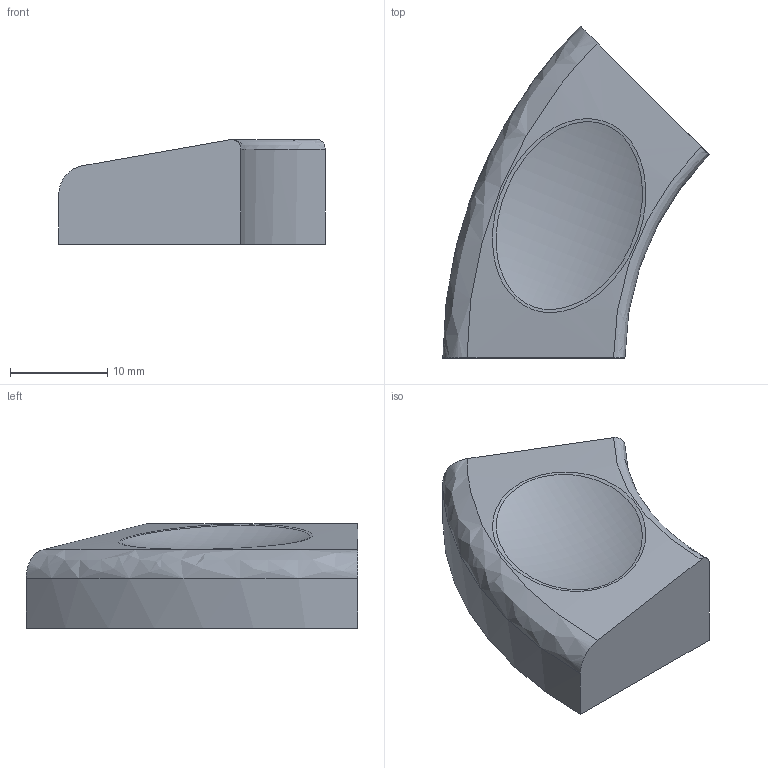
import cadquery as cq
import math

outer_radius = 48.3
inner_radius = 29.56
segment_angle = 45.0

inner_corner_height = 10.962
slope_angle = 10.0
outer_fillet = 3.0
inner_fillet = 1.0

dish_center_radius = 38.2
dish_depth = 1.55
dish_half_length = 10.2
dish_half_width = 7.2
dish_rim_fillet = 1.0
barrel_overreach = 1.2

slope = math.tan(math.radians(slope_angle))


def top_height(radius):
    """Height of the sloping top at a distance from the Z axis."""
    return inner_corner_height - (radius - inner_radius) * slope


def arc_radius(half_chord, sagitta):
    """Radius of the arc with the given half chord and sagitta."""
    return (half_chord**2 + sagitta**2) / (2 * sagitta)


def on_mid_plane(radius, height):
    """Point halfway along the segment, at the given radius and height."""
    angle = math.radians(segment_angle / 2)
    return (-radius * math.cos(angle), radius * math.sin(angle), height)


def make_segment():
    """Sharp-edged ring segment, swept from the -X axis towards +Y."""
    return (
        cq.Workplane("XZ")
        .moveTo(-outer_radius, 0)
        .lineTo(-inner_radius, 0)
        .lineTo(-inner_radius, inner_corner_height)
        .lineTo(-outer_radius, top_height(outer_radius))
        .close()
        .revolve(segment_angle, (0, 0, 0), (0, -1, 0))
    )


def make_dish_cutter():
    """Barrel whose underside is the dish; its axis runs along the segment."""
    end_radius = math.hypot(dish_center_radius, dish_half_length)
    end_drop = (end_radius - dish_center_radius) * slope
    long_radius = arc_radius(dish_half_length, dish_depth - end_drop)
    sloped_half_width = dish_half_width / math.cos(math.radians(slope_angle))
    cross_radius = arc_radius(sloped_half_width, dish_depth)

    barrel_half_length = barrel_overreach * dish_half_length
    end_rise = long_radius - math.sqrt(long_radius**2 - barrel_half_length**2)
    axis_height = cross_radius - dish_depth
    end_height = end_rise - dish_depth
    barrel = (
        cq.Workplane("YZ")
        .moveTo(-barrel_half_length, axis_height)
        .lineTo(-barrel_half_length, end_height)
        .threePointArc((0, -dish_depth), (barrel_half_length, end_height))
        .lineTo(barrel_half_length, axis_height)
        .close()
        .revolve(360, (0, axis_height), (1, axis_height))
    )
    return (
        barrel.rotate((0, 0, 0), (0, 1, 0), -slope_angle)
        .rotate((0, 0, 0), (0, 0, 1), -segment_angle / 2)
        .translate(on_mid_plane(dish_center_radius, top_height(dish_center_radius)))
    )


def scoop_dish(body):
    """Cut the dish into the top and round its rim."""
    dished = body.cut(make_dish_cutter())
    dish_bottom = on_mid_plane(dish_center_radius, top_height(dish_center_radius) - dish_depth)
    dish_face = dished.faces(cq.NearestToPointSelector(dish_bottom))
    return dish_face.edges().fillet(dish_rim_fillet)


def round_top_edge(body, wall_radius, fillet_radius):
    """Round the edge between the top and the curved wall at wall_radius."""
    edge_middle = on_mid_plane(wall_radius, top_height(wall_radius))
    return body.edges(cq.NearestToPointSelector(edge_middle)).fillet(fillet_radius)


body = scoop_dish(make_segment())
body = round_top_edge(body, outer_radius, outer_fillet)
result = round_top_edge(body, inner_radius, inner_fillet)